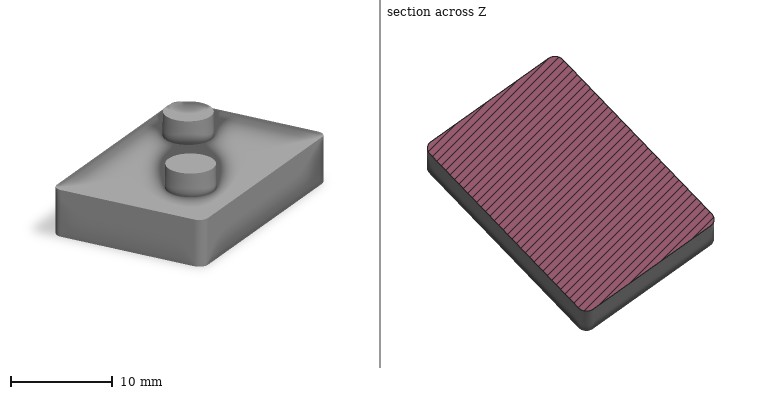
import cadquery as cq
import math

block_width = 17.0
block_length = 25.0
block_height = 5.0
corner_radius = 1.0

stud_top_diameter = 5.0
stud_height = 2.5
stud_draft_angle = 1.0
stud_offset_x = 3.25
stud_offset_y = 5.6


def make_block():
    block = cq.Workplane("XY").box(
        block_width, block_length, block_height, centered=(True, True, False)
    )
    return block.edges("|Z").fillet(corner_radius)


def make_stud(x, y):
    base_diameter = stud_top_diameter + 2 * stud_height * math.tan(math.radians(stud_draft_angle))
    return (
        cq.Workplane("XY", origin=(x, y, block_height))
        .circle(base_diameter / 2)
        .extrude(stud_height, taper=stud_draft_angle)
    )


result = make_block()
for side in (-1, 1):
    result = result.union(make_stud(side * stud_offset_x, -side * stud_offset_y))